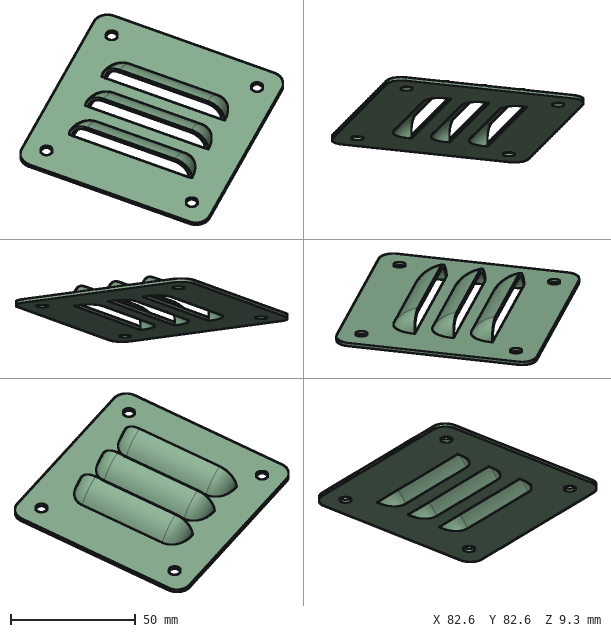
import cadquery as cq
import math

plate_size = 82.55
sheet = 1.5
corner_radius = 6.0
hole_diameter = 4.8
hole_pitch = 63.8

total_height = 9.3
louver_count = 3
louver_pitch = 16.0
middle_back_y = 5.6
hood_length = 54.1
end_radius = 7.85
lip_lean = 0.6
hood_run = 9.9
arc_radius = 17.8

hood_rise = total_height - sheet

chord = math.hypot(hood_run, hood_rise)
sagitta_leg = math.sqrt(arc_radius**2 - (chord / 2)**2)
center_out = hood_run / 2 + sagitta_leg * hood_rise / chord
center_up = hood_rise / 2 - sagitta_leg * hood_run / chord


def make_dome(inset):
    """Round-ended body turned about the X axis through the arc centre, inset from the outer skin."""
    half = hood_length / 2 - inset
    radius = arc_radius - inset
    bend = end_radius - inset
    diagonal = bend * (1 - math.sqrt(0.5))
    plane = cq.Plane(origin=(0, -center_out, center_up), xDir=(1, 0, 0), normal=(0, -1, 0))
    profile = (
        cq.Workplane(plane)
        .moveTo(-half, 0)
        .lineTo(-half, radius - bend)
        .threePointArc((diagonal - half, radius - diagonal), (bend - half, radius))
        .lineTo(half - bend, radius)
        .threePointArc((half - diagonal, radius - diagonal), (half, radius - bend))
        .lineTo(half, 0)
        .close()
    )
    return profile.revolve(360, (0, 0), (1, 0))


def make_envelope(depth):
    """Space behind the leaning front of the hood, reaching the given depth below the plate's top."""
    foot_out = hood_run + lip_lean
    outline = [(0, 0), (0, hood_rise), (hood_run, hood_rise), (foot_out, 0)]
    if depth > 0:
        outline += [(foot_out, -depth), (-depth, -depth), (-depth, 0)]
    plane = cq.Plane(origin=(0, 0, 0), xDir=(0, -1, 0), normal=(-1, 0, 0))
    return cq.Workplane(plane).polyline(outline).close().extrude(hood_length / 2, both=True)


raise_to_plate = (0, 0, sheet)
hood = make_dome(0).intersect(make_envelope(0)).translate(raise_to_plate)
hollow = make_dome(sheet).intersect(make_envelope(sheet)).translate(raise_to_plate)

result = (
    cq.Workplane("XY")
    .rect(plate_size, plate_size)
    .extrude(sheet)
    .edges("|Z")
    .fillet(corner_radius)
    .faces(">Z")
    .workplane()
    .rect(hole_pitch, hole_pitch, forConstruction=True)
    .vertices()
    .hole(hole_diameter)
)

for index in range(louver_count):
    back_y = middle_back_y + (index - (louver_count - 1) / 2) * louver_pitch
    place = (0, back_y, 0)
    result = result.union(hood.translate(place)).cut(hollow.translate(place))